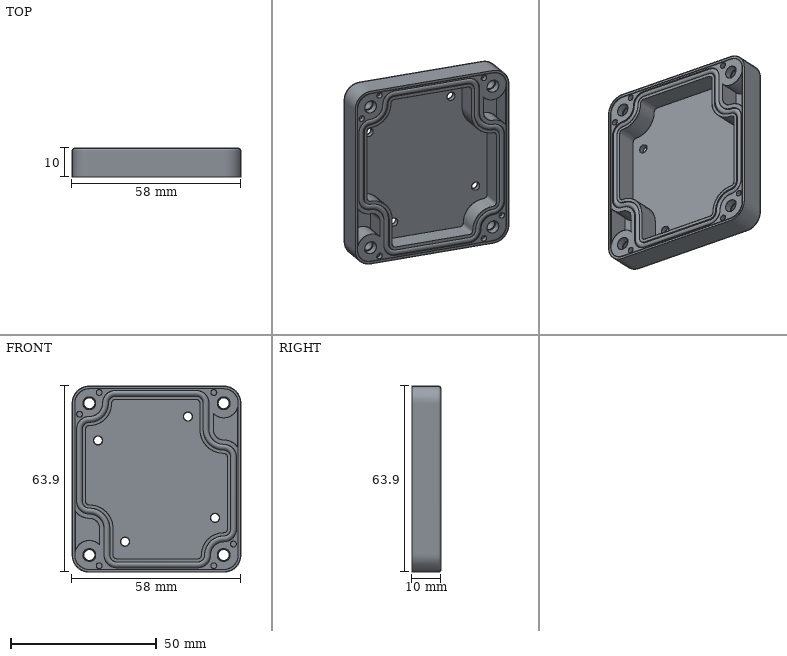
import cadquery as cq
import math

width = 57.96
height = 63.93
depth = 10.01
corner_radius = 5.9
back_fillet = 1.0

rim_width = 0.9
rim_step = 0.2
face_depth = depth - rim_step

floor_thickness = 2.0

screw_x = width / 2 - corner_radius
screw_z = height / 2 - corner_radius
screw_diameter = 3.8
screw_entry_diameter = 4.4
screw_entry_depth = 3.0
screw_pad_radius = corner_radius - rim_width

seal_diameter = 2.0
seal_inset = 2.5
seal_turn_radius = corner_radius - seal_inset
plain_notch_radius = 5.55
pocket_notch_radius = 6.05
pocket_notch_drop = 9.05

cavity_offset = 2.1
pocket_offset = 2.5
pocket_wall = 1.1

socket_diameter = 2.0
socket_depth = 2.0
socket_points = [(-19.7, 29.75), (-26.45, 22.3), (19.7, 29.75)]
mount_diameter = 3.0
mount_points = [(-20.1, 13.3), (10.8, 21.5)]

coincidence_tolerance = 1e-6


def turned(points):
    """The points together with their copies turned half a turn about the part's centre."""
    return points + [(-x, -z) for x, z in points]


def front_plane(distance):
    """Sketch plane facing the open front, at a distance in front of the back face."""
    return cq.Workplane("XZ", origin=(0, -distance, 0))


def arc_point(centre, radius, degrees):
    angle = math.radians(degrees)
    return (centre[0] + radius * math.cos(angle), centre[1] + radius * math.sin(angle))


def notch_arcs(notch_radius, drop, offset):
    """Arcs (start, middle, end) of the notch around the upper right screw, from top to side."""
    turn = seal_turn_radius - offset
    bend = notch_radius + offset
    reach = notch_radius + seal_turn_radius
    top_turn = (screw_x - reach, screw_z)
    inner_bend = (screw_x, screw_z - drop)
    side_turn = (screw_x, screw_z - drop - reach)
    return [
        [arc_point(top_turn, turn, a) for a in (90, 45, 0)],
        [arc_point(inner_bend, bend, a) for a in (180, 225, 270)],
        [arc_point(side_turn, turn, a) for a in (90, 45, 0)],
    ]


def seal_outline(distance, offset):
    """Closed outline parallel to the seal path; a positive offset lies inside it."""
    pocket_notch = notch_arcs(pocket_notch_radius, pocket_notch_drop, offset)
    plain_notch = notch_arcs(plain_notch_radius, 0, offset)
    mirrored = [[(x, -z) for x, z in reversed(arc)] for arc in reversed(plain_notch)]
    half = pocket_notch + mirrored
    opposite_half = [[(-x, -z) for x, z in arc] for arc in half]
    arcs = half + opposite_half

    outline = front_plane(distance).moveTo(*arcs[0][0])
    position = arcs[0][0]
    for start, middle, end in arcs:
        if math.dist(position, start) > coincidence_tolerance:
            outline = outline.lineTo(*start)
        outline = outline.threePointArc(middle, end)
        position = end
    return outline.close()


def rounded_block(block_width, block_height, radius, start, length):
    return (
        front_plane(start)
        .rect(block_width, block_height)
        .extrude(length)
        .edges("|Y")
        .fillet(radius)
    )


def drill(points, diameter, start, length):
    return front_plane(start).pushPoints(points).circle(diameter / 2).extrude(length)


def side_pockets():
    """Two pockets between the notched seal wall, the outer wall and a screw pad."""
    length = face_depth - floor_thickness
    pocket_height = pocket_notch_drop + pocket_notch_radius + seal_turn_radius
    pocket_width = pocket_notch_radius + corner_radius - pocket_wall
    right = width / 2 - pocket_wall
    block = (
        front_plane(floor_thickness)
        .center(right - pocket_width / 2, screw_z - pocket_height / 2)
        .rect(pocket_width, pocket_height)
        .extrude(length)
    )
    seal_wall = seal_outline(floor_thickness, -pocket_offset).extrude(length)
    pad = drill([(screw_x, screw_z)], 2 * screw_pad_radius, floor_thickness, length)
    pocket = block.cut(seal_wall).cut(pad)
    return [pocket, pocket.rotate((0, 0, 0), (0, 1, 0), 180)]


def make_housing():
    body = rounded_block(width, height, corner_radius, 0, depth)
    body = body.faces(">Y").edges().fillet(back_fillet)
    face_width = width - 2 * rim_width
    face_height = height - 2 * rim_width
    body = body.cut(
        rounded_block(face_width, face_height, corner_radius - rim_width, face_depth, rim_step)
    )
    body = body.cut(seal_outline(floor_thickness, cavity_offset).extrude(face_depth - floor_thickness))
    for pocket in side_pockets():
        body = body.cut(pocket)

    groove_floor = depth - seal_diameter
    groove = seal_outline(groove_floor, -seal_diameter / 2).extrude(seal_diameter)
    island = seal_outline(groove_floor, seal_diameter / 2).extrude(seal_diameter)
    body = body.cut(groove.cut(island))

    screws = [(sx * screw_x, sz * screw_z) for sx in (-1, 1) for sz in (-1, 1)]
    body = body.cut(drill(screws, screw_diameter, 0, depth))
    entry_start = depth - screw_entry_depth
    body = body.cut(drill(screws, screw_entry_diameter, entry_start, screw_entry_depth))
    sockets = turned(socket_points)
    body = body.cut(drill(sockets, socket_diameter, face_depth - socket_depth, socket_depth))
    body = body.cut(drill(turned(mount_points), mount_diameter, 0, floor_thickness))
    return body.solids()


def make_seal():
    """Round cord swept along the seal path, its crest level with the rim."""
    path = seal_outline(depth - seal_diameter / 2, 0)
    start = (0, seal_diameter / 2 - depth, screw_z + seal_turn_radius)
    section_plane = cq.Plane(origin=start, xDir=(0, -1, 0), normal=(-1, 0, 0))
    section = cq.Workplane(section_plane).circle(seal_diameter / 2)
    return section.sweep(path)


housing = make_housing()
seal = make_seal()

result = cq.Compound.makeCompound([housing.val(), seal.val()])